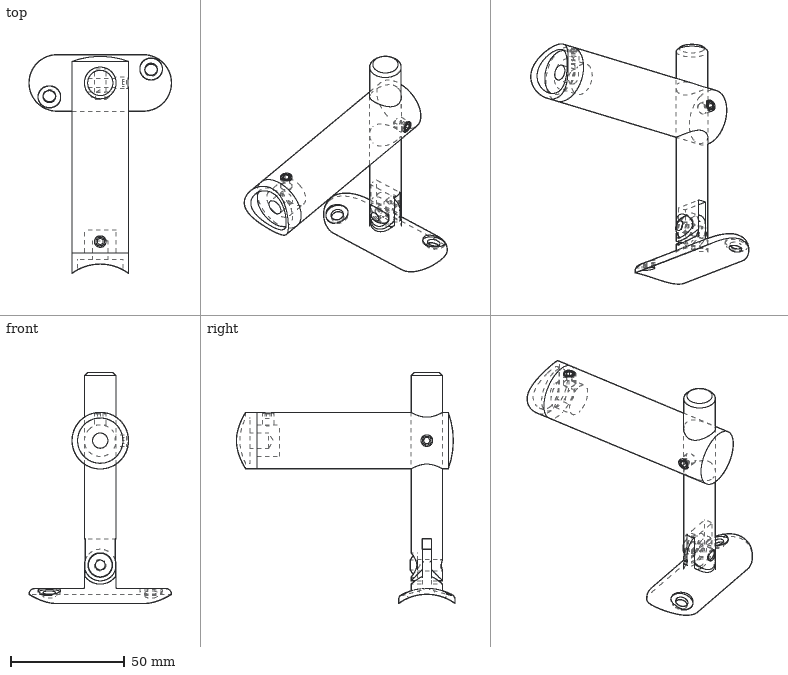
import cadquery as cq
import math


total_height = 102.1
bar_diameter = 25.0
bar_radius = bar_diameter / 2
pipe_radius = 21.2
saddle_rise = pipe_radius - math.sqrt(pipe_radius**2 - bar_radius**2)

plate_length = 63.0
plate_side_length = 39.7
plate_thickness = 2.7
plate_edge_fillet = 2.5
plate_axis_z = saddle_rise - pipe_radius
plate_outer_radius = pipe_radius + plate_thickness
mount_hole_x = 22.5
mount_hole_tilt = 15.4
mount_hole_radius = 2.8
mount_recess_radius = 5.0
mount_recess_depth = 1.0

post_diameter = 14.0
post_radius = post_diameter / 2
post_chamfer = 1.4
pivot_z = 17.0
slot_width = 4.0
slot_top_z = 28.6
fork_clearance = 1.4
stem_fillet = 0.4
stem_root_depth = 2.0
stem_root_z = saddle_rise + plate_thickness - stem_root_depth

screw_seat_radius = 5.4
screw_seat_y = -4.1
screw_head_radius = 5.2
screw_head_height = 3.3
screw_shank_radius = 2.6
screw_end_y = 6.1
socket_radius = 2.1
socket_depth = 3.1
drill_point_angle = 118.0

arm_z = 72.0
arm_back_y = 9.5
dome_height = 2.2
arm_front_y = -75.0
cap_crown_y = -80.0
cap_recess_radius = 10.0
cap_recess_depth = 2.0
stud_hole_radius = 3.4
stud_hole_depth = 8.2
plug_radius = post_radius
plug_length = 10.0

set_screw_radius = 2.6
set_screw_chamfer = 0.6
set_screw_hex = 2.6
set_screw_socket_depth = 2.6
set_screw_recess = 0.2
plug_screw_y = -70.0

reach = 2 * bar_diameter


def cylinder_along_y(radius, y_start, y_end, z):
    """Cylinder about the line x = 0 at height z, between two Y positions."""
    return cq.Workplane("XZ", origin=(0, y_start, z)).circle(radius).extrude(y_start - y_end)


def cone_height(radius):
    return radius / math.tan(math.radians(drill_point_angle / 2))


def drill_point_along_y(radius, y_base, z):
    """Cone with its base circle at y_base and its tip towards +Y."""
    return (
        cq.Workplane("XY", origin=(0, 0, z))
        .moveTo(0, y_base)
        .lineTo(radius, y_base)
        .lineTo(0, y_base + cone_height(radius))
        .close()
        .revolve(360, (0, 0, 0), (0, 1, 0))
    )


def make_plate():
    """Round-ended plate, bent around the pipe, with its upper rim rounded."""
    side_x = plate_side_length / 2
    end_x = plate_length / 2
    outline = (
        cq.Workplane("XY")
        .moveTo(-side_x, -bar_radius)
        .lineTo(side_x, -bar_radius)
        .threePointArc((end_x, 0), (side_x, bar_radius))
        .lineTo(-side_x, bar_radius)
        .threePointArc((-end_x, 0), (-side_x, -bar_radius))
        .close()
        .extrude(reach)
    )
    shell = (
        cq.Workplane("YZ", origin=(-plate_length, 0, 0))
        .center(0, plate_axis_z)
        .circle(plate_outer_radius)
        .circle(pipe_radius)
        .extrude(2 * plate_length)
    )
    plate = outline.intersect(shell)
    return plate.faces(">Z").edges().fillet(plate_edge_fillet)


def cut_mount_holes(plate):
    """Two recessed screw holes on opposite corners, square to the curved top."""
    floor_radius = plate_outer_radius - mount_recess_depth
    hole = (
        cq.Workplane("XY")
        .circle(mount_hole_radius)
        .extrude(reach)
        .union(cq.Workplane("XY", origin=(0, 0, floor_radius)).circle(mount_recess_radius).extrude(reach))
    )
    for side in (-1, 1):
        tilted = hole.rotate((0, 0, 0), (1, 0, 0), -side * mount_hole_tilt)
        plate = plate.cut(tilted.translate((side * mount_hole_x, 0, plate_axis_z)))
    return plate


def make_base():
    """Plate with a filleted round stem that ends in a flat pivot tongue."""
    stem = cq.Workplane("XY", origin=(0, 0, stem_root_z)).circle(post_radius).extrude(pivot_z - stem_root_z)
    base = make_plate().union(stem)
    plate_top_z = plate_axis_z + plate_outer_radius
    joint = cq.selectors.BoxSelector(
        (-post_radius, -post_radius, stem_root_z),
        (post_radius, post_radius, plate_top_z),
    )
    base = base.edges(joint).fillet(stem_fillet)
    base = cut_mount_holes(base)

    half_slot = slot_width / 2
    for side in (-1, 1):
        relief = cylinder_along_y(post_radius + fork_clearance, side * half_slot, side * reach, pivot_z)
        base = base.cut(relief)
    tongue_top = (
        cylinder_along_y(post_radius, -half_slot, half_slot, pivot_z)
        .intersect(cq.Workplane("XY", origin=(0, 0, pivot_z)).circle(post_radius).extrude(post_radius))
    )
    pivot_hole = cylinder_along_y(screw_shank_radius, -reach, reach, pivot_z)
    return base.union(tongue_top).cut(pivot_hole)


def make_post():
    """Round post with a chamfered top and a slotted, round-ended fork."""
    post = (
        cq.Workplane("XY", origin=(0, 0, pivot_z))
        .circle(post_radius)
        .extrude(total_height - pivot_z)
        .faces(">Z")
        .chamfer(post_chamfer)
    )
    fork_end = cylinder_along_y(post_radius, -post_radius, post_radius, pivot_z).intersect(
        cq.Workplane("XY").circle(post_radius).extrude(pivot_z)
    )
    slot = cq.Workplane("XY").box(reach, slot_width, slot_top_z, centered=(True, True, False))
    screw_seat = cylinder_along_y(screw_seat_radius, -reach, screw_seat_y, pivot_z)
    screw_hole = cylinder_along_y(screw_shank_radius, -reach, reach, pivot_z)
    return post.union(fork_end).cut(slot).cut(screw_seat).cut(screw_hole)


def make_pivot_screw():
    """Button-head screw with a round drilled socket."""
    crown_y = screw_seat_y - screw_head_height
    radius_squares = screw_head_radius**2 - socket_radius**2
    centre_y = crown_y + (radius_squares + screw_head_height**2) / (2 * screw_head_height)
    ball_radius = math.hypot(socket_radius, centre_y - crown_y)
    mid_radius = (screw_head_radius + socket_radius) / 2
    mid_y = centre_y - math.sqrt(ball_radius**2 - mid_radius**2)
    return (
        cq.Workplane("XY", origin=(0, 0, pivot_z))
        .moveTo(0, crown_y + socket_depth + cone_height(socket_radius))
        .lineTo(socket_radius, crown_y + socket_depth)
        .lineTo(socket_radius, crown_y)
        .threePointArc((mid_radius, mid_y), (screw_head_radius, screw_seat_y))
        .lineTo(screw_shank_radius, screw_seat_y)
        .lineTo(screw_shank_radius, screw_end_y)
        .lineTo(0, screw_end_y)
        .close()
        .revolve(360, (0, 0, 0), (0, 1, 0))
    )


def make_arm():
    """Round bar with a domed back end, a cross hole for the post and tapped holes."""
    apex_y = arm_back_y + dome_height
    dome_radius = (bar_radius**2 + dome_height**2) / (2 * dome_height)
    mid_radius = bar_radius / 2
    mid_y = apex_y - dome_radius + math.sqrt(dome_radius**2 - mid_radius**2)
    arm = (
        cq.Workplane("XY", origin=(0, 0, arm_z))
        .moveTo(0, arm_front_y)
        .lineTo(bar_radius, arm_front_y)
        .lineTo(bar_radius, arm_back_y)
        .threePointArc((mid_radius, mid_y), (0, apex_y))
        .close()
        .revolve(360, (0, 0, 0), (0, 1, 0))
    )
    post_hole = cq.Workplane("XY").circle(post_radius).extrude(total_height)
    plug_hole = cylinder_along_y(plug_radius, arm_front_y, arm_front_y + plug_length, arm_z)
    plug_screw_hole = (
        cq.Workplane("XY", origin=(0, plug_screw_y, arm_z)).circle(set_screw_radius).extrude(reach)
    )
    post_screw_hole = cq.Workplane("YZ", origin=(0, 0, arm_z)).circle(set_screw_radius).extrude(reach)
    return arm.cut(post_hole).cut(plug_hole).cut(plug_screw_hole).cut(post_screw_hole)


def make_cap():
    """Saddle cap for a vertical pipe, with a plug into the arm and a blind stud hole."""
    tip_y = cap_crown_y - saddle_rise
    floor_y = cap_crown_y + cap_recess_depth
    pipe = (
        cq.Workplane("XY", origin=(0, cap_crown_y - pipe_radius, 0))
        .circle(pipe_radius)
        .extrude(total_height)
    )
    recess = cylinder_along_y(cap_recess_radius, tip_y, floor_y, arm_z)
    hole_end_y = floor_y + stud_hole_depth
    stud_hole = cylinder_along_y(stud_hole_radius, floor_y, hole_end_y, arm_z)
    stud_hole = stud_hole.union(drill_point_along_y(stud_hole_radius, hole_end_y, arm_z))
    head = cylinder_along_y(bar_radius, tip_y, arm_front_y, arm_z).cut(pipe).cut(recess)
    plug = cylinder_along_y(plug_radius, arm_front_y, arm_front_y + plug_length, arm_z)
    return head.union(plug).cut(stud_hole)


def make_set_screw():
    """Socket set screw along +Z, seated on the post or the plug, with the arm axis at the origin."""
    top = bar_radius - set_screw_recess
    socket = (
        cq.Workplane("XY", origin=(0, 0, top - set_screw_socket_depth))
        .polygon(6, set_screw_hex, circumscribed=True)
        .extrude(set_screw_socket_depth)
    )
    return (
        cq.Workplane("XY", origin=(0, 0, plug_radius))
        .circle(set_screw_radius)
        .extrude(top - plug_radius)
        .faces(">Z")
        .chamfer(set_screw_chamfer)
        .cut(socket)
    )


def make_set_screws():
    """One screw holds the cap's plug from above, the other clamps the post from +X."""
    places = ((plug_screw_y, 0), (0, 90))
    return [
        make_set_screw().rotate((0, 0, 0), (0, 1, 0), turn).translate((0, y, arm_z))
        for y, turn in places
    ]


base = make_base()
post = make_post()
pivot_screw = make_pivot_screw()
arm = make_arm()
cap = make_cap()
set_screws = make_set_screws()

result = cq.Compound.makeCompound([
    base.val(),
    post.val(),
    pivot_screw.val(),
    arm.val(),
    cap.val(),
    *[screw.val() for screw in set_screws],
])